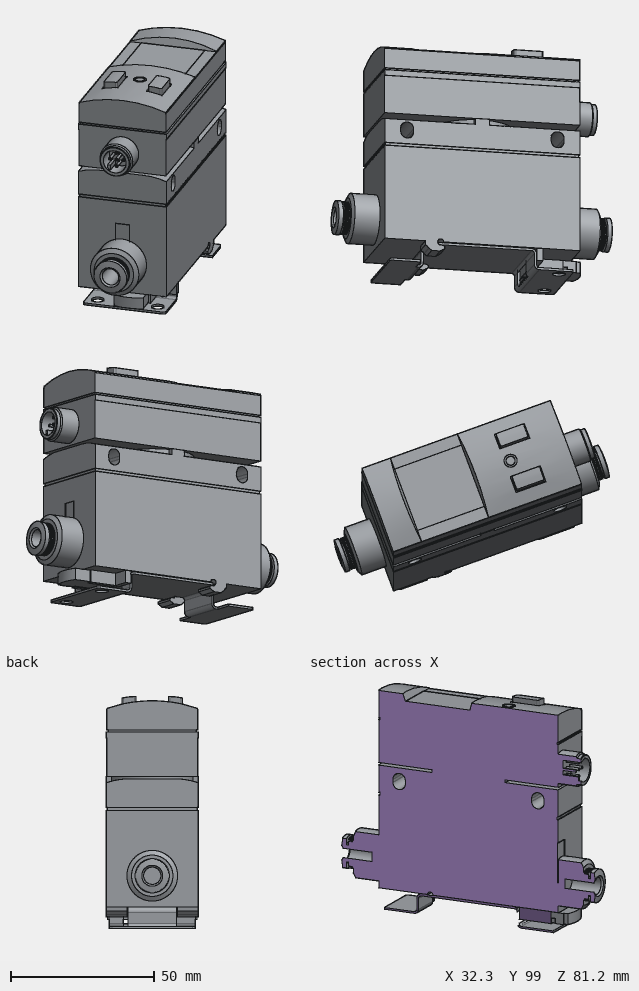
import cadquery as cq
import math

width = 32.3
length = 70.1
half_width = width / 2
half_length = length / 2
base_bottom = 7.5
base_top = 41.4
band_bottom = 42.4
band_side_top = 51.0
band_crown = 52.4
band_flat_half_width = 7.9
head_bottom = 53.2
head_shoulder = 66.7
head_top = 68.8
cap_bottom = 69.5
cap_lip = 76.5
cap_side_top = 77.0
cap_crown = 79.7
groove_depth = 0.4
head_width = 31.9
cap_width = 31.9
cap_lip_width = 31.7

joint_diameter = 29.1
tab_width = 5.1
tab_depth = 2.5

mount_hole_y = 27.0
mount_hole_z = 47.3
mount_hole_height = 5.7
mount_hole_width = 4.7

display_floor = 76.8
recess_back_floor_y = 24.5
recess_back_rim_y = 25.5
recess_front_floor_y = -0.4
recess_front_rim_y = -1.3
screen_width = 23.3
screen_height = 0.15

button_x = 8.1
button_y = -18.0
button_width = 4.95
button_length = 10.3
button_corner = 0.6
button_crown = 81.2
button_crown_radius = 23.8
button_well_width = 5.7
button_well_length = 11.1
button_well_floor = 77.5
ring_y = -14.5
ring_outer = 4.6
ring_inner = 3.2
ring_floor = 79.2

fitting_z = 18.5
fitting_diameter = 17.7
fitting_chamfer_start = 44.1
fitting_chamfer_end = 44.9
fitting_end_diameter = 14.5
sleeve_diameter = 11.5
sleeve_groove_diameter = 10.5
sleeve_grooves = (45.3, 46.1)
sleeve_groove_width = 0.3
sleeve_end = 46.8
neck_diameter = 8.1
collar_start = 47.5
collar_diameter = 12.0
collar_bevel_start = 49.1
fitting_tip = 49.5
fitting_bore = 6.0
fitting_bore_mouth = 7.3
fitting_bore_bevel = 0.6
fitting_bore_depth = 11.9

connector_z = 60.0
connector_diameter = 12.0
connector_shoulder = 42.0
connector_bevel_end = 42.4
connector_nose_diameter = 10.9
connector_tip_diameter = 10.5
connector_tip = 44.0
connector_tip_bevel = 0.2
socket_diameter = 8.3
socket_depth = 6.9
pin_diameter = 1
pin_circle_radius = 2.5
pin_length = 4.95
pin_chamfer = 0.2
key_outer = 3
key_inner = 1.9
key_setback = 1

label_width = 5.1
label_top = 33.0
label_depth = 0.3

sheet = 0.8
bracket_width = 30.2
front_leg_y = -19.7
back_leg_y = 20.2
front_foot_y = -33.1
back_foot_y = 32.8
inner_bend = 1
foot_corner = 1
foot_hole_diameter = 4.5
foot_hole_x = 11.0
foot_hole_y = -28.7
leg_gap_left = -2.7
leg_gap_right = 10.1
back_leg_half_width = 8.5
back_foot_edge_y = 22.0
web_edge_y = 15.4

hook_clearance = 0.3
hook_thickness = half_width - back_leg_half_width - hook_clearance
throat_y = 14.9
throat_diameter = 2.1
hook_outline = [
    (20.5, base_bottom), (20.4, 6.1), (19.2, 4.95), (18.2, 4.2), (15.1, 4.2), (13.5, 5.1), (13.5, 5.8),
    (14.3, 6.3), (15.3, 6.3), (throat_y + throat_diameter / 2, 7.1), (throat_y + throat_diameter / 2, base_bottom),
]

latch_plate_width = 31.4
latch_bottom = 3.2
latch_plate_y = -21.9
latch_block_y = -32.2
latch_channel_width = 8.1
tongue_x = 3.4
tongue_bottom = 3.5
block_width = 12.1
tongue_left_step = 0.5
tongue_step_y = -37.0
tongue_tip_width = 10.7
tongue_side_end_y = -38.4
tongue_tip_y = -39.5
tongue_notch_depth = 0.6
tongue_notch_end_y = -33.8
tongue_notch_top = 5.2


def block(x_range, y_range, z_range):
    """Box between the given limits."""
    sizes = [high - low for low, high in (x_range, y_range, z_range)]
    corner = (x_range[0], y_range[0], z_range[0])
    return cq.Workplane("XY").box(*sizes, centered=False).translate(corner)


def layer(layer_width, layer_length, bottom, top):
    """Box centred on the Z axis."""
    box = cq.Workplane("XY").box(layer_width, layer_length, top - bottom, centered=(True, True, False))
    return box.translate((0, 0, bottom))


def crowned_layer(layer_width, bottom, side_top, crown):
    """Full-length layer whose top is an arc across X."""
    half = layer_width / 2
    profile = (
        cq.Workplane("XZ")
        .moveTo(-half, bottom)
        .lineTo(half, bottom)
        .lineTo(half, side_top)
        .threePointArc((0, crown), (-half, side_top))
        .close()
    )
    return profile.extrude(half_length, both=True)


def turned(profile, center_z, end):
    """Revolve (radius, distance) points about a Y axis at the given height, towards -Y or +Y."""
    solid = cq.Workplane("XY").polyline(profile).close().revolve(360, (0, 0, 0), (0, 1, 0))
    if end < 0:
        solid = solid.mirror("XZ")
    return solid.translate((0, 0, center_z))


def y_cylinder(diameter, x, z, start, depth):
    """Cylinder along +Y."""
    plane = cq.Plane(origin=(x, start, z), xDir=(1, 0, 0), normal=(0, 1, 0))
    return cq.Workplane(plane).circle(diameter / 2).extrude(depth)


def band():
    """Full-length layer with a flat top that rolls off to both sides in tangent arcs."""
    flat = band_flat_half_width
    profile = (
        cq.Workplane("XZ")
        .moveTo(half_width, band_bottom)
        .lineTo(-half_width, band_bottom)
        .lineTo(-half_width, band_side_top)
        .lineTo(-flat, band_crown)
        .lineTo(flat, band_crown)
        .tangentArcPoint((half_width, band_side_top), relative=False)
        .close()
    )
    half_band = profile.extrude(half_length, both=True)
    return half_band.union(half_band.mirror("YZ"))


def housing_stack():
    core_width = cap_lip_width - 2 * groove_depth
    core_length = length - 2 * groove_depth
    stack = layer(width, length, base_bottom, base_top)
    stack = stack.union(layer(width - 2 * groove_depth, core_length, base_top, band_bottom))
    stack = stack.union(band())
    joint = cq.Workplane("XY").circle(joint_diameter / 2).extrude(head_bottom - band_bottom)
    stack = stack.union(joint.translate((0, 0, band_bottom)))
    for edge in (-half_width, half_width - tab_depth):
        tab = block((edge, edge + tab_depth), (-tab_width / 2, tab_width / 2), (band_bottom, head_bottom))
        stack = stack.union(tab)
    stack = stack.union(layer(head_width, length, head_bottom, head_shoulder))
    stack = stack.union(layer(width, length, head_shoulder, head_top))
    stack = stack.union(layer(core_width, core_length, head_top, cap_bottom))
    stack = stack.union(layer(cap_width, length, cap_bottom, cap_lip))
    return stack.union(crowned_layer(cap_lip_width, cap_lip, cap_side_top, cap_crown))


def mounting_slots():
    slots = cq.Workplane("YZ").pushPoints([(-mount_hole_y, mount_hole_z), (mount_hole_y, mount_hole_z)])
    return slots.slot2D(mount_hole_height, mount_hole_width, 90).extrude(half_width, both=True)


def display_recess():
    outline = [
        (recess_back_floor_y, display_floor),
        (recess_back_rim_y, cap_crown),
        (recess_front_rim_y, cap_crown),
        (recess_front_floor_y, display_floor),
    ]
    return cq.Workplane("YZ").polyline(outline).close().extrude(half_width, both=True)


def screen():
    half = screen_width / 2
    return block(
        (-half, half),
        (recess_front_floor_y, recess_back_floor_y),
        (cap_lip, display_floor + screen_height),
    )


def button_well(x):
    well = layer(button_well_width, button_well_length, button_well_floor, button_crown)
    return well.translate((x, button_y, 0))


def button(x):
    """Rounded block whose top falls away from the housing centre line along an arc."""
    blank = layer(button_width, button_length, button_well_floor, button_crown)
    blank = blank.edges("|Z").fillet(button_corner).translate((x, button_y, 0))
    crown_x = math.copysign(button_x - button_width / 2, x)
    crown = y_cylinder(
        2 * button_crown_radius, crown_x, button_crown - button_crown_radius, -half_length, half_length
    )
    return blank.intersect(crown)


def indicator_groove():
    ring = cq.Workplane("XY").circle(ring_outer / 2).circle(ring_inner / 2).extrude(cap_crown - ring_floor)
    return ring.translate((0, ring_y, ring_floor))


def fitting(end):
    """Stepped push-in fitting with a bevelled blind bore."""
    sleeve_radius = sleeve_diameter / 2
    groove_radius = sleeve_groove_diameter / 2
    neck_radius = neck_diameter / 2
    bore_radius = fitting_bore / 2
    profile = [
        (0, half_length),
        (fitting_diameter / 2, half_length),
        (fitting_diameter / 2, fitting_chamfer_start),
        (fitting_end_diameter / 2, fitting_chamfer_end),
        (sleeve_radius, fitting_chamfer_end),
    ]
    for start in sleeve_grooves:
        profile += [
            (sleeve_radius, start),
            (groove_radius, start),
            (groove_radius, start + sleeve_groove_width),
            (sleeve_radius, start + sleeve_groove_width),
        ]
    profile += [
        (sleeve_radius, sleeve_end),
        (neck_radius, sleeve_end),
        (neck_radius, collar_start),
        (collar_diameter / 2, collar_start),
        (collar_diameter / 2, collar_bevel_start),
        (fitting_bore_mouth / 2, fitting_tip),
        (bore_radius, fitting_tip - fitting_bore_bevel),
        (bore_radius, fitting_tip - fitting_bore_depth),
        (0, fitting_tip - fitting_bore_depth),
    ]
    return turned(profile, fitting_z, end)


def connector():
    """Round plug shell with a keyed socket and five contact pins."""
    socket_floor = connector_tip - socket_depth
    profile = [
        (0, half_length),
        (connector_diameter / 2, half_length),
        (connector_diameter / 2, connector_shoulder),
        (connector_nose_diameter / 2, connector_bevel_end),
        (connector_nose_diameter / 2, connector_tip - connector_tip_bevel),
        (connector_tip_diameter / 2, connector_tip),
        (socket_diameter / 2, connector_tip),
        (socket_diameter / 2, socket_floor),
        (0, socket_floor),
    ]
    plug = turned(profile, connector_z, -1)
    radius = pin_circle_radius
    for x, z in [(0, 0), (radius, 0), (0, radius), (-radius, 0), (0, -radius)]:
        pin = y_cylinder(pin_diameter, x, connector_z + z, -socket_floor - pin_length, pin_length)
        plug = plug.union(pin.faces("<Y").chamfer(pin_chamfer))
    key = block(
        (-key_outer, -key_inner),
        (key_setback - connector_tip, -socket_floor),
        (connector_z - socket_diameter / 2, connector_z - key_inner),
    )
    bore = y_cylinder(connector_nose_diameter, 0, connector_z, -connector_tip, socket_depth)
    return plug.union(key.intersect(bore))


def label_recess():
    half = label_width / 2
    return block((-half, half), (-half_length, label_depth - half_length), (fitting_z, label_top))


def hook(x):
    outline = cq.Workplane("YZ").polyline(hook_outline).close().extrude(hook_thickness)
    return outline.translate((x, 0, 0))


def throat_groove():
    groove = cq.Workplane("YZ").center(throat_y, base_bottom).circle(throat_diameter / 2)
    return groove.extrude(half_width, both=True)


def make_housing():
    body = housing_stack()
    body = body.cut(mounting_slots()).cut(display_recess()).union(screen())
    for x in (-button_x, button_x):
        body = body.cut(button_well(x)).union(button(x))
    body = body.cut(indicator_groove()).cut(label_recess()).cut(throat_groove())
    for x in (-half_width, half_width - hook_thickness):
        body = body.union(hook(x))
    for end in (-1, 1):
        body = body.union(fitting(end))
    return body.union(connector())


def make_bracket():
    """Hat-shaped sheet: a web under the base, two legs and two outward feet."""
    outline = [
        (back_foot_y, 0),
        (back_leg_y - sheet, 0),
        (back_leg_y - sheet, base_bottom - sheet),
        (front_leg_y + sheet, base_bottom - sheet),
        (front_leg_y + sheet, 0),
        (front_foot_y, 0),
        (front_foot_y, sheet),
        (front_leg_y, sheet),
        (front_leg_y, base_bottom),
        (back_leg_y, base_bottom),
        (back_leg_y, sheet),
        (back_foot_y, sheet),
    ]
    half = bracket_width / 2
    plate = cq.Workplane("YZ").polyline(outline).close().extrude(half, both=True)

    def bend_edges(y_low, y_high, z_low, z_high):
        margin = sheet / 4
        return cq.selectors.BoxSelector(
            (-half, y_low - margin, z_low - margin), (half, y_high + margin, z_high + margin)
        )

    for y_low in (front_leg_y, back_leg_y - sheet):
        for z_low in (0, base_bottom - sheet):
            corner = plate.edges("|X").edges(bend_edges(y_low, y_low + sheet, z_low, z_low + sheet))
            inside_y = y_low if (z_low == 0) == (y_low < 0) else y_low + sheet
            inside_z = sheet if z_low == 0 else z_low
            inner = corner.edges(bend_edges(inside_y, inside_y, inside_z, inside_z))
            plate = inner.fillet(inner_bend)
            outer_y = 2 * y_low + sheet - inside_y
            outer_z = 2 * z_low + sheet - inside_z
            outer = plate.edges("|X").edges(bend_edges(outer_y, outer_y, outer_z, outer_z))
            plate = outer.fillet(inner_bend + sheet)
    front_gap = block(
        (leg_gap_left, leg_gap_right), (front_leg_y, front_leg_y + sheet), (sheet, base_bottom)
    )
    plate = plate.cut(front_gap)
    for low, high in ((-half, -back_leg_half_width), (back_leg_half_width, half)):
        plate = plate.cut(block((low, high), (web_edge_y, back_foot_edge_y), (0, base_bottom)))
    plate = plate.edges("|Z").edges(">Y or <Y").fillet(foot_corner)
    holes = cq.Workplane("XY").pushPoints([(-foot_hole_x, foot_hole_y), (foot_hole_x, foot_hole_y)])
    return plate.cut(holes.circle(foot_hole_diameter / 2).extrude(sheet))


def make_latch():
    """Wide plate against the front leg, with a forward block and a tongue that ends in a shallow arc."""
    half_plate = latch_plate_width / 2
    half_channel = latch_channel_width / 2
    half_block = block_width / 2
    half_tip = tongue_tip_width / 2
    tongue = (
        cq.Workplane("XY")
        .moveTo(-half_tip - tongue_left_step, latch_block_y)
        .lineTo(-half_tip - tongue_left_step, tongue_step_y)
        .lineTo(-half_tip, tongue_step_y)
        .lineTo(-half_tip, tongue_side_end_y)
        .threePointArc((0, tongue_tip_y), (half_tip, tongue_side_end_y))
        .lineTo(half_tip, latch_block_y)
        .close()
        .extrude(base_bottom - tongue_bottom)
    )
    notch = block(
        (-half_block, tongue_notch_depth - half_block),
        (tongue_notch_end_y, latch_block_y),
        (0, tongue_notch_top - tongue_bottom),
    )
    tongue = tongue.cut(notch)
    tongue = tongue.translate((tongue_x, 0, tongue_bottom))
    plate = block((-half_plate, half_plate), (latch_plate_y, front_leg_y), (latch_bottom, base_bottom))
    rear_block = block(
        (tongue_x - half_block, tongue_x + half_block),
        (latch_block_y, latch_plate_y),
        (latch_bottom, base_bottom),
    )
    channel = block(
        (tongue_x - half_channel, tongue_x + half_channel),
        (latch_block_y, front_leg_y),
        (latch_bottom, tongue_bottom),
    )
    return plate.union(rear_block).cut(channel).union(tongue)


housing = make_housing()
bracket = make_bracket()
latch = make_latch()

result = cq.Compound.makeCompound([housing.val(), bracket.val(), latch.val()])